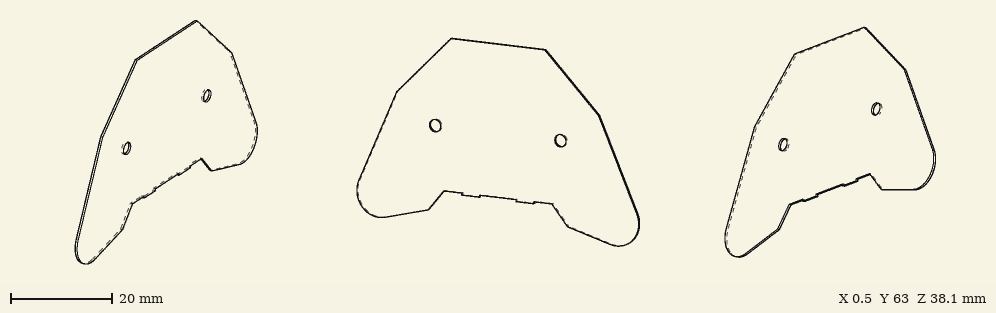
import cadquery as cq
import math

thickness = 0.5
span = 62.97
height = 38.06

top_half_width = 10.5
shoulder_half_width = 22.55
shoulder_depth = shoulder_half_width - top_half_width

foot_radius = 5.0
foot_center = (span / 2 - foot_radius, foot_radius)

recess_half_width = 12.1
recess_depth = 31.1
heel_half_width = 15.6
heel_depth = 35.35

tab_width = 4.0
tab_drop = 0.4
tab_offset = 6.05

hole_diameter = 2.5
hole_offset = 14.0
hole_depth = 18.05


def tangent_point(point, side):
    """Touch point on the foot circle of a line from point; side is +1 or -1."""
    dy = point[0] - foot_center[0]
    dz = point[1] - foot_center[1]
    angle = math.atan2(dz, dy) + side * math.acos(foot_radius / math.hypot(dy, dz))
    return foot_point(angle)


def foot_point(angle):
    """Point on the foot circle at the given angle."""
    return (
        foot_center[0] + foot_radius * math.cos(angle),
        foot_center[1] + foot_radius * math.sin(angle),
    )


def make_half_plate():
    """Half of the plate on the +Y side, with its bottom at Z = 0."""
    shoulder = (shoulder_half_width, height - shoulder_depth)
    heel = (heel_half_width, height - heel_depth)
    recess_z = height - recess_depth
    return (
        cq.Workplane("YZ")
        .moveTo(0, height)
        .lineTo(top_half_width, height)
        .lineTo(*shoulder)
        .lineTo(*tangent_point(shoulder, -1))
        .threePointArc(foot_point(-math.pi / 4), tangent_point(heel, 1))
        .lineTo(*heel)
        .lineTo(recess_half_width, recess_z)
        .lineTo(tab_offset + tab_width / 2, recess_z)
        .lineTo(tab_offset + tab_width / 2, recess_z - tab_drop)
        .lineTo(tab_offset - tab_width / 2, recess_z - tab_drop)
        .lineTo(tab_offset - tab_width / 2, recess_z)
        .lineTo(0, recess_z)
        .close()
        .extrude(thickness)
    )


def make_hole():
    """Cutter for the mounting hole on the +Y side."""
    return (
        cq.Workplane("YZ")
        .center(hole_offset, height - hole_depth)
        .circle(hole_diameter / 2)
        .extrude(thickness)
    )


half_plate = make_half_plate().cut(make_hole())
result = half_plate.union(half_plate.mirror("XZ")).clean()